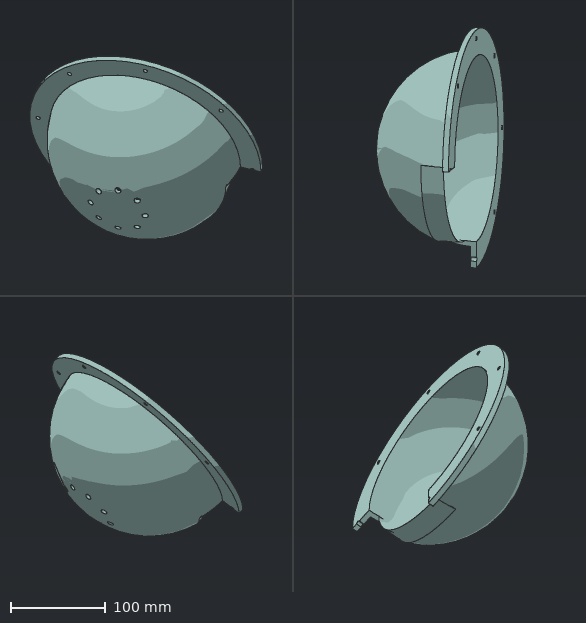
import cadquery as cq
import math

flange_radius = 128.5
flange_thickness = 6.5
dome_radius = 106.0
wall_thickness = 6.0
relief_radius = 99.3
bolt_circle_radius = 119.0
bolt_hole_diameter = 4.5
vent_circle_radius = 30.3
vent_hole_diameter = 6.5
hole_count = 8

cavity_radius = dome_radius - wall_thickness
hole_step = 360.0 / hole_count


def forward_cylinder(radius, length):
    """Cylinder on the dome axis, from y = 0 toward -Y."""
    return cq.Workplane("XZ").circle(radius).extrude(length)


def make_flanged_dome():
    flange = forward_cylinder(flange_radius, flange_thickness)
    front_half = forward_cylinder(flange_radius, flange_radius)
    dome = cq.Workplane("XY").sphere(dome_radius).intersect(front_half)
    cavity = cq.Workplane("XY").sphere(cavity_radius)
    return flange.union(dome).cut(cavity)


def make_bolt_holes():
    return (
        cq.Workplane("XZ")
        .polarArray(bolt_circle_radius, 0, 360, hole_count)
        .circle(bolt_hole_diameter / 2)
        .extrude(flange_thickness)
    )


def make_vent_hole(angle):
    """Hole drilled through the wall along a dome radius."""
    tilt = math.asin(vent_circle_radius / dome_radius)
    direction = cq.Vector(
        math.sin(tilt) * math.cos(math.radians(angle)),
        -math.cos(tilt),
        math.sin(tilt) * math.sin(math.radians(angle)),
    )
    start = direction * (cavity_radius - wall_thickness)
    drill = cq.Solid.makeCylinder(vent_hole_diameter / 2, 3 * wall_thickness, start, direction)
    return cq.Workplane(obj=drill)


def make_quarter_ring_cutout():
    """Open the +X, -Z quadrant outside the relief radius."""
    corner = cq.Workplane("XZ").rect(2 * flange_radius, -2 * flange_radius, centered=False)
    quadrant = corner.extrude(dome_radius)
    return quadrant.cut(forward_cylinder(relief_radius, dome_radius))


result = make_flanged_dome().cut(make_bolt_holes())
for index in range(hole_count):
    result = result.cut(make_vent_hole(index * hole_step))
result = result.cut(make_quarter_ring_cutout())